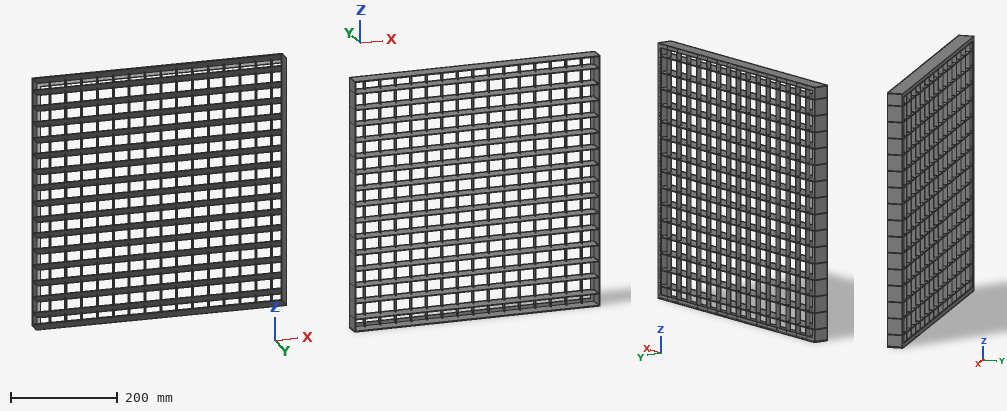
import cadquery as cq

side = 490.0
depth = 30.0

wall = 2.0
flange_width = 8.5

bar_count = 15
flat_thickness = 1.5
flat_margin = 24.5
cross_thickness = 1.05
cross_margin = 28.0
cross_depth = depth / 3

inner_side = side - 2 * wall
opening = side - 2 * flange_width
flange_front = depth - wall
cross_front = depth - cross_depth


def box(size_x, size_z, y_front, y_back, x=0.0, z=0.0):
    """Box centred on (x, z) that runs from y_front to y_back."""
    block = cq.Workplane("XY").box(size_x, y_back - y_front, size_z)
    return block.translate((x, (y_front + y_back) / 2, z))


def bar_positions(margin):
    """Bar centres, evenly spaced between the two outermost bars."""
    pitch = (side - 2 * margin) / (bar_count - 1)
    return [margin - side / 2 + i * pitch for i in range(bar_count)]


def make_frame():
    """Square frame, open to the front, with a flange around the back opening."""
    frame = box(side, side, 0, depth)
    frame = frame.cut(box(inner_side, inner_side, 0, flange_front))
    return frame.cut(box(opening, opening, flange_front, depth))


result = make_frame()

for flat_z in bar_positions(flat_margin):
    flat = box(inner_side, flat_thickness, 0, depth, z=flat_z)
    result = result.union(flat)

for cross_x in bar_positions(cross_margin):
    cross_bar = box(cross_thickness, inner_side, cross_front, depth, x=cross_x)
    result = result.union(cross_bar)